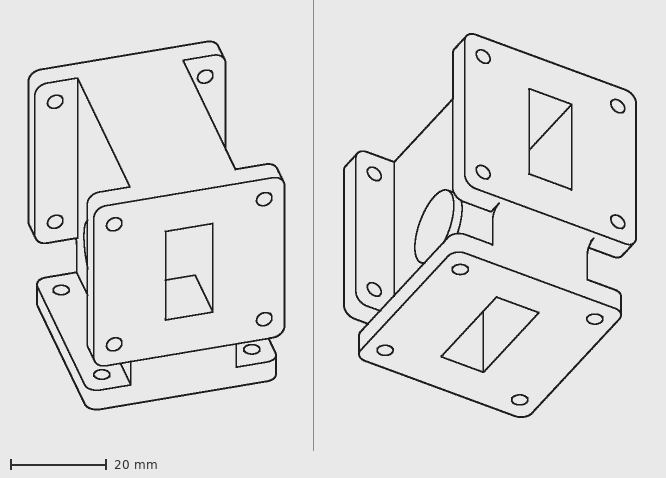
import cadquery as cq
import math

length = 50.0
height = 55.7
flange_size = 41.4
flange_thickness = 5.0
flange_corner_radius = 2.6

hole_diameter = 3.35
hole_spacing_long = 31.0
hole_spacing_short = 32.55

body_depth = 22.9
port_long = 22.9
port_short = 10.25
under_flange_radius = 2.6
boss_diameter = 16.1
boss_height = 2.0

side_port_z = height - flange_size / 2
port_floor_z = side_port_z - port_long / 2
flange_bottom_z = height - flange_size


def flange(plane, corner_edges):
    """Square flange with rounded corners and four bolt holes.

    The plane's local x runs along the long side of the port, and corner_edges
    selects the edges along the flange thickness.
    """
    return (
        cq.Workplane(plane)
        .rect(flange_size, flange_size)
        .extrude(flange_thickness)
        .edges(corner_edges)
        .fillet(flange_corner_radius)
        .copyWorkplane(cq.Workplane(plane))
        .rect(hole_spacing_long, hole_spacing_short, forConstruction=True)
        .vertices()
        .circle(hole_diameter / 2)
        .cutBlind(flange_thickness)
    )


half_length = length / 2
half_stem = flange_size / 2
fillet_end = half_stem + under_flange_radius
fillet_bottom_z = flange_bottom_z - under_flange_radius
arc_mid_offset = under_flange_radius * math.sqrt(0.5)
mid_x = fillet_end - arc_mid_offset
mid_z = fillet_bottom_z + arc_mid_offset

body = (
    cq.Workplane("XZ")
    .moveTo(-half_stem, 0)
    .lineTo(half_stem, 0)
    .lineTo(half_stem, fillet_bottom_z)
    .threePointArc((mid_x, mid_z), (fillet_end, flange_bottom_z))
    .lineTo(half_length, flange_bottom_z)
    .lineTo(half_length, height)
    .lineTo(-half_length, height)
    .lineTo(-half_length, flange_bottom_z)
    .lineTo(-fillet_end, flange_bottom_z)
    .threePointArc((-mid_x, mid_z), (-half_stem, fillet_bottom_z))
    .close()
    .extrude(body_depth / 2, both=True)
)

bosses = (
    cq.Workplane("XZ")
    .center(0, port_floor_z)
    .circle(boss_diameter / 2)
    .extrude(body_depth / 2 + boss_height, both=True)
)

result = body.union(bosses).union(flange(cq.Plane.XY(), "|Z"))
for side in (-1, 1):
    flange_plane = cq.Plane(
        origin=(side * half_length, 0, side_port_z), xDir=(0, 0, 1), normal=(-side, 0, 0)
    )
    result = result.union(flange(flange_plane, "|X"))

straight_port = cq.Workplane("XY").box(length, port_short, port_long).translate((0, 0, side_port_z))
bottom_port = (
    cq.Workplane("XY")
    .rect(port_long, port_short)
    .extrude(side_port_z)
)
result = result.cut(straight_port).cut(bottom_port)